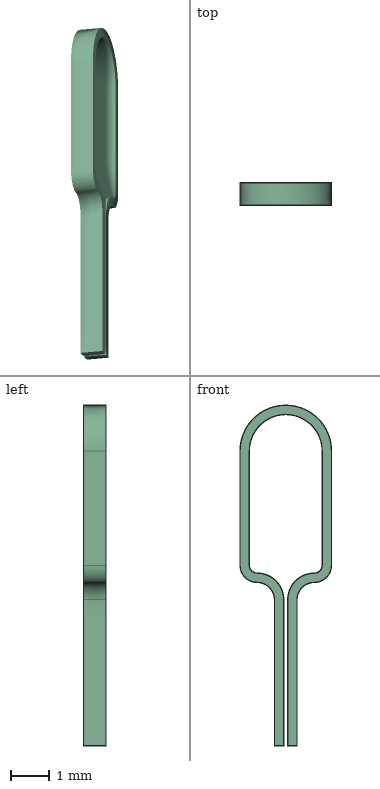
import cadquery as cq

height = 8.89
outer_width = 2.39
strip_width = 0.6
thickness = 0.25
leg_gap = 0.1
loop_side_bottom = 4.71

loop_radius = outer_width / 2
leg_inner = leg_gap / 2
leg_outer = leg_inner + thickness
loop_inner = loop_radius - thickness
loop_center_z = height - loop_radius

bend_radius = (loop_radius - leg_outer) / 2
corner_inner = bend_radius - thickness
flare_outer = bend_radius + thickness
bend_x = leg_outer + bend_radius
shoulder_z = loop_side_bottom - bend_radius
leg_top_z = shoulder_z - bend_radius


def quarter_bend(sketch, end, center, radius, toward_x, toward_z):
    """Add a quarter arc whose middle lies diagonally from its center."""
    diagonal = radius / 2**0.5
    middle = (center[0] + toward_x * diagonal, center[1] + toward_z * diagonal)
    return sketch.threePointArc(middle, end)


def half_clip():
    """Build the +X half of the bent strip, centered on Y."""
    corner_center = (bend_x, loop_side_bottom)
    flare_center = (bend_x, leg_top_z)
    loop_center = (0, loop_center_z)

    outline = cq.Workplane("XZ").moveTo(leg_inner, 0).lineTo(leg_outer, 0)
    outline = outline.lineTo(leg_outer, leg_top_z)
    outline = quarter_bend(outline, (bend_x, shoulder_z), flare_center, bend_radius, -1, 1)
    outline = quarter_bend(outline, (loop_radius, loop_side_bottom), corner_center, bend_radius, 1, -1)
    outline = outline.lineTo(loop_radius, loop_center_z)
    outline = quarter_bend(outline, (0, height), loop_center, loop_radius, 1, 1)

    outline = outline.lineTo(0, height - thickness)
    outline = quarter_bend(outline, (loop_inner, loop_center_z), loop_center, loop_inner, 1, 1)
    outline = outline.lineTo(loop_inner, loop_side_bottom)
    outline = quarter_bend(
        outline, (bend_x, shoulder_z + thickness), corner_center, corner_inner, 1, -1
    )
    outline = quarter_bend(outline, (leg_inner, leg_top_z), flare_center, flare_outer, -1, 1)
    return outline.close().extrude(strip_width / 2, both=True)


right_half = half_clip()
result = right_half.union(right_half.mirror("YZ")).clean()